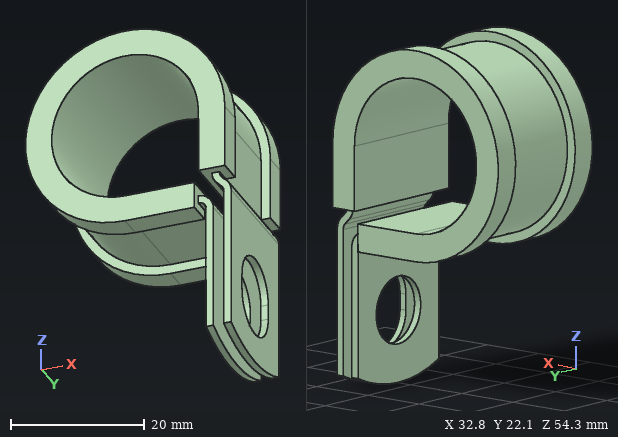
import cadquery as cq
import math


liner_width = 22.1
bore_radius = 11.9
liner_thickness = 4.3
liner_radius = bore_radius + liner_thickness
groove_depth = 1.5
flange_width = 4.05
groove_width = liner_width - 2 * flange_width
upper_end_z = -10.05
lower_end_x = 11.25

strap_width = 19.0
strap_thickness = 1.2
bend_radius = 1.85
strap_outer_radius = liner_radius - groove_depth
strap_radius = strap_outer_radius - strap_thickness / 2

outer_leg_x = 16.55 - strap_thickness / 2
inner_leg_x = lower_end_x + bend_radius
leg_bottom_z = -38.1
tip_rise = 2.1
hole_diameter = 10.35
slot_length = 12.8
hole_z = -26.95

DIAGONAL = math.sqrt(0.5)


def loop_section(inner_radius, outer_radius, width):
    """Three-quarter ring with two straight tangent ends, centred on Y = 0."""
    return (
        cq.Workplane("XZ")
        .moveTo(lower_end_x, -outer_radius)
        .lineTo(0, -outer_radius)
        .threePointArc((-outer_radius * DIAGONAL, outer_radius * DIAGONAL), (outer_radius, 0))
        .lineTo(outer_radius, upper_end_z)
        .lineTo(inner_radius, upper_end_z)
        .lineTo(inner_radius, 0)
        .threePointArc((-inner_radius * DIAGONAL, inner_radius * DIAGONAL), (0, -inner_radius))
        .lineTo(lower_end_x, -inner_radius)
        .close()
        .extrude(width / 2, both=True)
    )


def make_liner():
    body = loop_section(bore_radius, liner_radius, liner_width)
    groove = loop_section(strap_outer_radius, liner_radius, groove_width)
    return body.cut(groove)


def make_strap():
    bend_shift = bend_radius * (1 - DIAGONAL)
    bend_drop = bend_radius * DIAGONAL
    jog_run = outer_leg_x - strap_radius - 2 * bend_shift
    jog_start = (strap_radius + bend_shift, upper_end_z - bend_drop)
    jog_end = (jog_start[0] + jog_run, jog_start[1] - jog_run)
    path = (
        cq.Workplane("XZ")
        .moveTo(inner_leg_x, leg_bottom_z)
        .lineTo(inner_leg_x, -strap_radius - bend_radius)
        .tangentArcPoint((lower_end_x, -strap_radius), relative=False)
        .lineTo(0, -strap_radius)
        .threePointArc((-strap_radius * DIAGONAL, strap_radius * DIAGONAL), (strap_radius, 0))
        .lineTo(strap_radius, upper_end_z)
        .tangentArcPoint(jog_start, relative=False)
        .lineTo(*jog_end)
        .tangentArcPoint((outer_leg_x, jog_end[1] - bend_drop), relative=False)
        .lineTo(outer_leg_x, leg_bottom_z)
    )
    return (
        cq.Workplane("XY", origin=(inner_leg_x, 0, leg_bottom_z))
        .rect(strap_thickness, strap_width)
        .sweep(path)
    )


def make_tip_waste():
    """Material below the rounded tips, across both legs."""
    half_width = strap_width / 2
    corner_z = leg_bottom_z + tip_rise
    return (
        cq.Workplane("YZ")
        .moveTo(-half_width, corner_z)
        .threePointArc((0, leg_bottom_z), (half_width, corner_z))
        .lineTo(half_width, leg_bottom_z - tip_rise)
        .lineTo(-half_width, leg_bottom_z - tip_rise)
        .close()
        .extrude(liner_radius + liner_thickness)
    )


def make_bolt_openings():
    """Round hole through both legs, lengthened to an upright slot in the outer leg."""
    hole = (
        cq.Workplane("YZ")
        .center(0, hole_z)
        .circle(hole_diameter / 2)
        .extrude(liner_radius + liner_thickness)
    )
    slot = (
        cq.Workplane("YZ", origin=(outer_leg_x, 0, hole_z))
        .slot2D(slot_length, hole_diameter, 90)
        .extrude(strap_thickness, both=True)
    )
    return hole.union(slot)


strap = make_strap().cut(make_tip_waste()).cut(make_bolt_openings())
result = make_liner().union(strap)